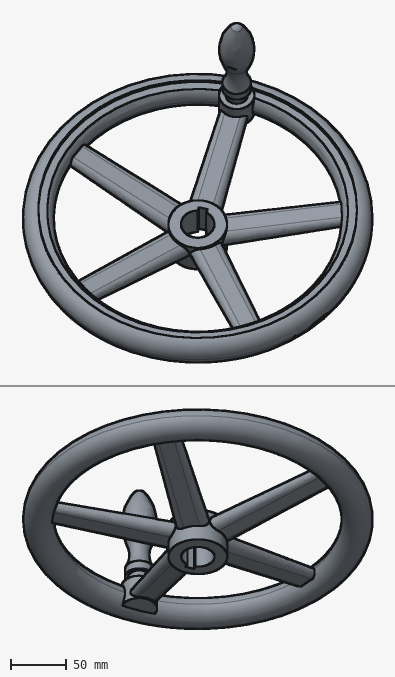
import cadquery as cq
import math

OUTER_DIAMETER = 315.0
RIM_THICKNESS = 28.0
RIM_TUBE_RADIUS = RIM_THICKNESS / 2
RIM_CENTER_RADIUS = OUTER_DIAMETER / 2 - RIM_TUBE_RADIUS
RIM_TOP_Z = 56.0
RIM_CENTER_Z = RIM_TOP_Z - RIM_TUBE_RADIUS
RIM_STEP_DEPTH = 2.5

HUB_DIAMETER = 53.0
HUB_HEIGHT = 33.0
BORE_DIAMETER = 30.0
KEYWAY_WIDTH = 8.0
KEYWAY_TOP_Y = 18.3

SPOKE_COUNT = 5
SPOKE_FLAT_WIDTH = 14.5
SPOKE_START_RADIUS = 20.0
SPOKE_START_Z = 21.9
SPOKE_START_EDGE_RADIUS = 8.0
SPOKE_END_RADIUS = 136.0
SPOKE_END_Z = 41.3
SPOKE_END_EDGE_RADIUS = 5.3

HANDLE_Y = 132.0
BOSS_DIAMETER = 32.0
BOSS_BOTTOM_Z = 31.0

TOTAL_HEIGHT = 161.47
SHANK_RADIUS = 10.0
COLLAR_RADIUS = 13.0
COLLAR_BOTTOM_Z = 66.4
COLLAR_TOP_Z = 75.0
NECK_RADIUS = 9.2
NECK_Z = 91.0
GRIP_START_RADIUS = 12.0
GRIP_START_Z = 104.4
GRIP_MAX_RADIUS = 16.0
GRIP_MAX_Z = 125.1
TIP_RADIUS = 5.0
TIP_Z = 159.4


def make_rim():
    """Round ring whose inner upper quarter is cut down to a flat step."""
    step_z = RIM_TOP_Z - RIM_STEP_DEPTH
    step_angle = math.asin((step_z - RIM_CENTER_Z) / RIM_TUBE_RADIUS)

    def tube_point(angle):
        """Point on the round tube section, angle measured up from the outward side."""
        return (
            RIM_CENTER_RADIUS + RIM_TUBE_RADIUS * math.cos(angle),
            RIM_CENTER_Z + RIM_TUBE_RADIUS * math.sin(angle),
        )

    return (
        cq.Workplane("XZ")
        .moveTo(RIM_CENTER_RADIUS, step_z)
        .lineTo(*tube_point(math.pi - step_angle))
        .threePointArc(tube_point(math.pi - step_angle / 2), tube_point(math.pi))
        .threePointArc(tube_point(-math.pi / 2), tube_point(0))
        .threePointArc(tube_point(math.pi / 4), tube_point(math.pi / 2))
        .close()
        .revolve(360, (0, 0, 0), (0, 1, 0), clean=False)
        .rotate((0, 0, 0), (0, 0, 1), -90)
    )


def make_hub():
    return cq.Workplane("XY").circle(HUB_DIAMETER / 2).extrude(HUB_HEIGHT)


def spoke_section(radius, height, edge_radius):
    """Upright slot-shaped wire across the +Y direction at the given radius."""
    plane = cq.Plane(origin=(0, radius, height), xDir=(1, 0, 0), normal=(0, -1, 0))
    section = cq.Workplane(plane).slot2D(SPOKE_FLAT_WIDTH + 2 * edge_radius, 2 * edge_radius)
    return section.wires().val()


def make_spoke():
    start = spoke_section(SPOKE_START_RADIUS, SPOKE_START_Z, SPOKE_START_EDGE_RADIUS)
    end = spoke_section(SPOKE_END_RADIUS, SPOKE_END_Z, SPOKE_END_EDGE_RADIUS)
    return cq.Workplane(cq.Solid.makeLoft([start, end], True))


def make_handle_boss():
    return (
        cq.Workplane("XY", origin=(0, HANDLE_Y, BOSS_BOTTOM_Z))
        .circle(BOSS_DIAMETER / 2)
        .extrude(RIM_TOP_Z - BOSS_BOTTOM_Z)
    )


def make_handle():
    """Turned handle: shank, collar, waisted neck, bulged grip and domed tip."""
    dome_height = TOTAL_HEIGHT - TIP_Z
    dome_radius = (TIP_RADIUS**2 + dome_height**2) / (2 * dome_height)
    half_angle = math.asin(TIP_RADIUS / dome_radius) / 2
    dome_middle = (
        dome_radius * math.sin(half_angle),
        TOTAL_HEIGHT - dome_radius * (1 - math.cos(half_angle)),
    )
    return (
        cq.Workplane("XZ", origin=(0, HANDLE_Y, 0))
        .moveTo(0, BOSS_BOTTOM_Z)
        .lineTo(SHANK_RADIUS, BOSS_BOTTOM_Z)
        .lineTo(SHANK_RADIUS, COLLAR_BOTTOM_Z)
        .lineTo(COLLAR_RADIUS, COLLAR_BOTTOM_Z)
        .lineTo(COLLAR_RADIUS, COLLAR_TOP_Z)
        .threePointArc((NECK_RADIUS, NECK_Z), (GRIP_START_RADIUS, GRIP_START_Z))
        .threePointArc((GRIP_MAX_RADIUS, GRIP_MAX_Z), (TIP_RADIUS, TIP_Z))
        .threePointArc(dome_middle, (0, TOTAL_HEIGHT))
        .close()
        .revolve(360, (0, 0), (0, 1))
    )


def make_bore():
    bore = cq.Workplane("XY").circle(BORE_DIAMETER / 2).extrude(HUB_HEIGHT)
    keyway = (
        cq.Workplane("XY")
        .center(0, KEYWAY_TOP_Y / 2)
        .rect(KEYWAY_WIDTH, KEYWAY_TOP_Y)
        .extrude(HUB_HEIGHT)
    )
    return bore.union(keyway)


wheel = make_rim().union(make_hub(), clean=False)
for index in range(SPOKE_COUNT):
    spoke = make_spoke().rotate((0, 0, 0), (0, 0, 1), index * 360 / SPOKE_COUNT)
    wheel = wheel.union(spoke, clean=False)

handle_with_boss = make_handle_boss().union(make_handle())
result = wheel.union(handle_with_boss, clean=False).cut(make_bore(), clean=False)